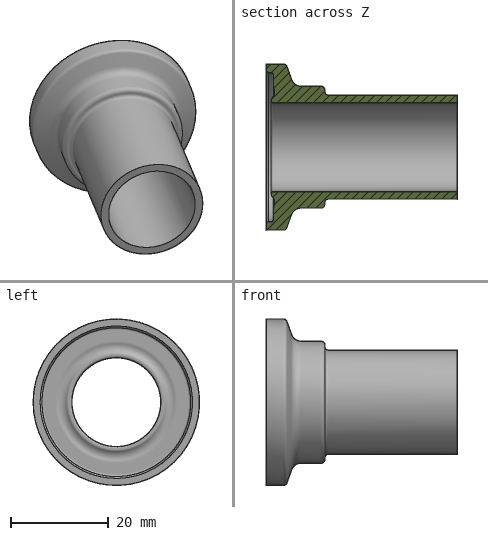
import cadquery as cq
import math

length = 39.0
bore_radius = 18.1 / 2
tube_radius = 21.3 / 2

flange_radius = 34.0 / 2
flange_back = 4.05
slope_angle = 20.0
flange_edge_round = 0.78
slope_fillet = 1.95

collar_radius = 25.0 / 2
collar_end = 12.0
collar_edge_round = 0.85
collar_root_fillet = 0.7

recess_radius = 15.55
recess_wall_radius = 30.4 / 2
recess_chamfer_depth = 0.45
recess_depth = 1.5
recess_corner_fillet = 0.4

groove_start_radius = 12.15
groove_start_round = 1.4
groove_bottom_radius = 10.9
groove_fillet = 1.7
lip_radius = 9.95
lip_wall_angle = 45.0
lip_inner_round = 0.45
lip_outer_round = 0.55

slope = math.tan(math.radians(slope_angle))
collar_start = flange_back + (flange_radius - collar_radius) * slope
groove_bottom = recess_depth + (groove_start_radius - groove_bottom_radius) * slope
lip_wall_slope = math.tan(math.radians(lip_wall_angle))
lip_face = groove_bottom - (groove_bottom_radius - lip_radius) * lip_wall_slope


def unit_vector(start, end):
    """Unit vector from one (x, radius) point to another."""
    dx = end[0] - start[0]
    dr = end[1] - start[1]
    size = math.hypot(dx, dr)
    return dx / size, dr / size


def corner_arc(before, corner, after, radius):
    """Start, middle and end of the tangent arc that rounds a corner."""
    to_before = unit_vector(corner, before)
    to_after = unit_vector(corner, after)
    cosine = to_before[0] * to_after[0] + to_before[1] * to_after[1]
    half_angle = math.acos(cosine) / 2
    tangent = radius / math.tan(half_angle)
    middle_distance = radius / math.sin(half_angle) - radius
    bisector = unit_vector((0, 0), (to_before[0] + to_after[0], to_before[1] + to_after[1]))

    def offset(direction, distance):
        return corner[0] + direction[0] * distance, corner[1] + direction[1] * distance

    return offset(to_before, tangent), offset(bisector, middle_distance), offset(to_after, tangent)


def rounded_outline(corners):
    """Closed wire through (x, radius, rounding) corners; the first corner is sharp."""
    outline = cq.Workplane("XY").moveTo(*corners[0][:2])
    for i in range(1, len(corners)):
        corner = corners[i][:2]
        rounding = corners[i][2]
        if rounding == 0:
            outline = outline.lineTo(*corner)
            continue
        before = corners[i - 1][:2]
        after = corners[(i + 1) % len(corners)][:2]
        start, middle, end = corner_arc(before, corner, after, rounding)
        outline = outline.lineTo(*start).threePointArc(middle, end)
    return outline.close()


outer_corners = [
    (0, flange_radius, 0),
    (flange_back, flange_radius, flange_edge_round),
    (collar_start, collar_radius, slope_fillet),
    (collar_end, collar_radius, collar_edge_round),
    (collar_end, tube_radius, collar_root_fillet),
    (length, tube_radius, 0),
]
inner_corners = [
    (length, bore_radius, 0),
    (lip_face, bore_radius, lip_inner_round),
    (lip_face, lip_radius, lip_outer_round),
    (groove_bottom, groove_bottom_radius, groove_fillet),
    (recess_depth, groove_start_radius, groove_start_round),
    (recess_depth, recess_wall_radius, recess_corner_fillet),
    (recess_chamfer_depth, recess_wall_radius, 0),
    (0, recess_radius, 0),
]

result = rounded_outline(outer_corners + inner_corners).revolve(360, (0, 0, 0), (1, 0, 0))